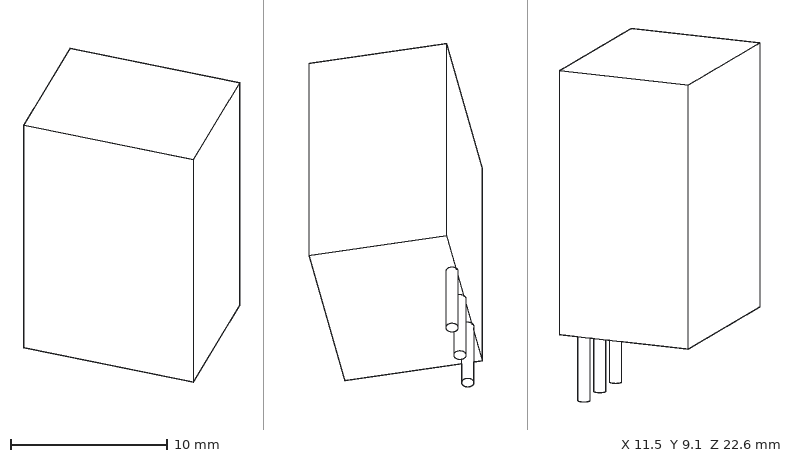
import cadquery as cq

total_height = 22.6
housing_width = 11.5
housing_depth = 9.0
housing_height = 17.5

pin_count = 3
pin_diameter = 0.8
pin_pitch = 2.53
pin_overhang = 0.1
pin_length = total_height - housing_height
pin_y = housing_depth / 2 + pin_overhang - pin_diameter / 2


def make_housing():
    """Plain block with its underside at Z = 0."""
    return cq.Workplane("XY").box(
        housing_width, housing_depth, housing_height, centered=(True, True, False)
    )


def make_pin(x):
    """Round pin hanging from the underside of the housing."""
    return cq.Workplane("XY").center(x, pin_y).circle(pin_diameter / 2).extrude(-pin_length)


housing = make_housing()

pins = []
for index in range(pin_count):
    pin_x = (index - (pin_count - 1) / 2) * pin_pitch
    pins.append(make_pin(pin_x).val())

result = cq.Compound.makeCompound([housing.val(), *pins])